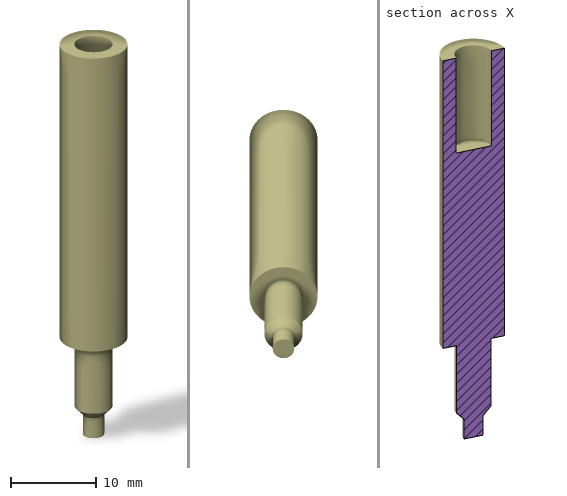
import cadquery as cq

total_length = 50.5
body_length = 38.0
tip_length = 2.65
taper_length = 1.0

body_diameter = 8.0
pin_diameter = 4.5
tip_diameter = 2.5

socket_diameter = pin_diameter
socket_depth = total_length - body_length

taper_top = tip_length + taper_length
body_bottom = total_length - body_length


def make_turned_body():
    """Revolve the stepped half profile: tip, taper, pin and body."""
    half_profile = (
        cq.Workplane("XZ")
        .moveTo(0, 0)
        .lineTo(tip_diameter / 2, 0)
        .lineTo(tip_diameter / 2, tip_length)
        .lineTo(pin_diameter / 2, taper_top)
        .lineTo(pin_diameter / 2, body_bottom)
        .lineTo(body_diameter / 2, body_bottom)
        .lineTo(body_diameter / 2, total_length)
        .lineTo(0, total_length)
        .close()
    )
    return half_profile.revolve(360, (0, 0, 0), (0, 1, 0))


def make_socket():
    """Flat-bottomed cylinder that is cut from the top face."""
    return (
        cq.Workplane("XY")
        .workplane(offset=total_length - socket_depth)
        .circle(socket_diameter / 2)
        .extrude(socket_depth)
    )


result = make_turned_body().cut(make_socket())